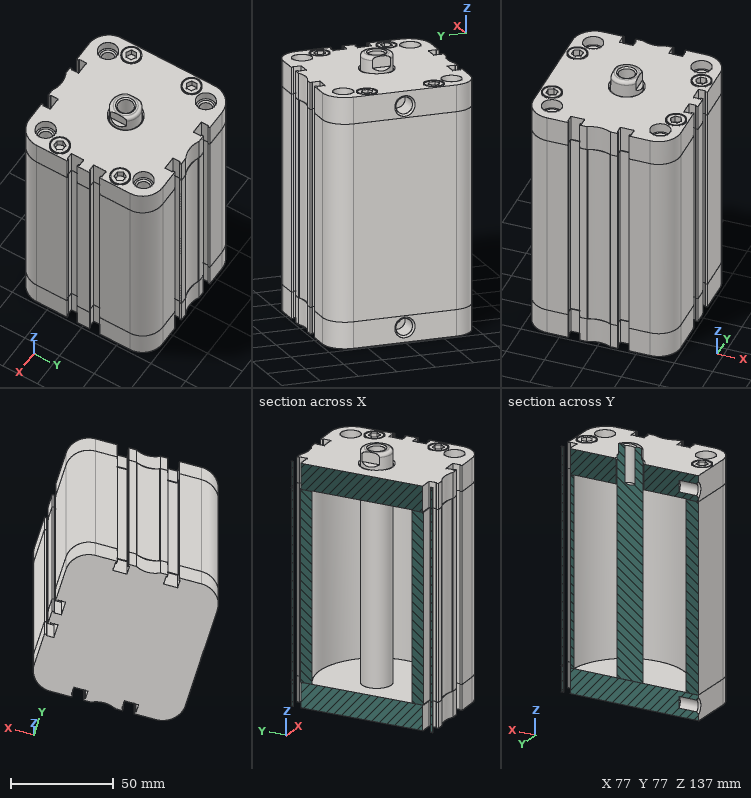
import cadquery as cq
import math


TOTAL_HEIGHT = 137.0
SIDE = 77.0
HALF_SIDE = SIDE / 2
ROD_PROJECTION = 8.2
CAP_HEIGHT = 13.7
HOUSING_HEIGHT = TOTAL_HEIGHT - ROD_PROJECTION
BARREL_HEIGHT = HOUSING_HEIGHT - 2 * CAP_HEIGHT
BEARING_CAP_BASE = HOUSING_HEIGHT - CAP_HEIGHT
BORE_DIAMETER = 63.0
CORNER_RADIUS = 11.6

SLOT_MOUTH_WIDTH = 5.9
SLOT_WIDTH = 7.1
SLOT_LIP = 1.2
FRONT_SLOT_OFFSET = 12.9
SIDE_SLOT_OFFSET = 6.5
SIDE_SLOT_DEPTH = 5.0
CAP_FRONT_SLOT_DEPTH = 5.3
BARREL_FRONT_SLOT_DEPTH = 5.0

FLUTE_WIDTH = 12.2
CAP_FLUTE_DEPTH = 1.5
BARREL_FLUTE_DEPTH = 1.2
FLUTE_BEVEL = 0.4

MOUNT_OFFSET = 28.2
MOUNT_RECESS_DIAMETER = 10.3
MOUNT_RECESS_DEPTH = 5.0
MOUNT_CHAMFER_DIAMETER = 8.4
MOUNT_HOLE_DIAMETER = 6.7

SCREW_X = 32.3
SCREW_Y = 17.4
SCREW_DIAMETER = 10.3
SCREW_EDGE_CHAMFER = 0.5
HEX_ACROSS_FLATS = 5.1
HEX_DEPTH = 3.4

PORT_END_DISTANCE = 7.7
PORT_DIAMETER = 8.6
PORT_CHAMFER_DIAMETER = 10.5
PORT_DEPTH = 11.0
PASSAGE_DIAMETER = 4.0
PASSAGE_RISE = 1.1
PASSAGE_DEPTH = 5.5

ROD_DIAMETER = 16.0
ROD_EDGE_RADIUS = 1.9
ROD_ACROSS_FLATS = 13.0
ROD_FLAT_LENGTH = 5.8
ROD_BEARING_DIAMETER = 16.6
ROD_BEARING_CHAMFER_DIAMETER = 18.0
ROD_THREAD_DIAMETER = 8.4
ROD_THREAD_CHAMFER_DIAMETER = 9.9
ROD_THREAD_DEPTH = 20.0
DRILL_TIP_ANGLE = 118.0


def cone_to(plane, large_diameter, small_diameter):
    """45 degree countersink tool, starting on the plane and narrowing along its normal."""
    depth = (large_diameter - small_diameter) / 2
    return cq.Workplane(plane).add(
        cq.Solid.makeCone(large_diameter / 2, small_diameter / 2, depth, plane.origin, plane.zDir)
    )


def slot_cutter(offset, depth, height):
    """Stepped slot tool for the -Y side, placed at the given X offset."""
    mouth = cq.Workplane().box(SLOT_MOUTH_WIDTH, depth, height, centered=(True, False, False))
    channel = cq.Workplane().box(SLOT_WIDTH, depth - SLOT_LIP, height, centered=(True, False, False))
    return mouth.union(channel.translate((0, SLOT_LIP, 0))).translate((offset, -HALF_SIDE, 0))


def flute_cutter(depth, bevel, height):
    """Arc-bottomed flute tool for the -Y side; a bevel of zero leaves its edges plain."""
    half_width = FLUTE_WIDTH / 2
    arc_half_width = half_width - bevel
    outline = cq.Workplane().moveTo(-half_width, -HALF_SIDE)
    if bevel:
        outline = outline.lineTo(-arc_half_width, -HALF_SIDE + bevel)
    outline = outline.threePointArc((0, -HALF_SIDE + depth), (arc_half_width, -HALF_SIDE + bevel))
    if bevel:
        outline = outline.lineTo(half_width, -HALF_SIDE)
    return outline.close().extrude(height)


def profile_block(height, front_slot_depth, flute_depth, flute_bevel):
    """Rounded square block with the slots and flutes running through its full height."""
    block = cq.Workplane().box(SIDE, SIDE, height, centered=(True, True, False))
    block = block.edges("|Z").fillet(CORNER_RADIUS)
    front_tools = [flute_cutter(flute_depth, flute_bevel, height)]
    for side in (-1, 1):
        front_tools.append(slot_cutter(side * FRONT_SLOT_OFFSET, front_slot_depth, height))
        side_slot = slot_cutter(side * SIDE_SLOT_OFFSET, SIDE_SLOT_DEPTH, height)
        block = block.cut(side_slot.rotate((0, 0, 0), (0, 0, 1), 90))
    for tool in front_tools:
        block = block.cut(tool).cut(tool.mirror("XZ"))
    return block


def cap_block():
    return profile_block(CAP_HEIGHT, CAP_FRONT_SLOT_DEPTH, CAP_FLUTE_DEPTH, 0)


def port_cutter(port_z):
    """Chamfered port drilled inward from the -X side."""
    face = cq.Plane(origin=(-HALF_SIDE, 0, port_z), xDir=(0, 1, 0), normal=(1, 0, 0))
    bore = cq.Workplane(face).circle(PORT_DIAMETER / 2).extrude(PORT_DEPTH)
    return bore.union(cone_to(face, PORT_CHAMFER_DIAMETER, PORT_DIAMETER))


def passage_cutter(port_z):
    """Narrow air passage leading on from the floor of a port."""
    floor = cq.Plane(
        origin=(-HALF_SIDE + PORT_DEPTH, 0, port_z + PASSAGE_RISE), xDir=(0, 1, 0), normal=(1, 0, 0)
    )
    return cq.Workplane(floor).circle(PASSAGE_DIAMETER / 2).extrude(PASSAGE_DEPTH)


def mount_hole_cutter():
    """Recess, chamfer and core hole, pointing down from the cap's top face."""
    top = cq.Plane(origin=(0, 0, CAP_HEIGHT), normal=(0, 0, -1))
    recess_floor = cq.Plane(origin=(0, 0, CAP_HEIGHT - MOUNT_RECESS_DEPTH), normal=(0, 0, -1))
    recess = cq.Workplane(top).circle(MOUNT_RECESS_DIAMETER / 2).extrude(MOUNT_RECESS_DEPTH)
    hole = cq.Workplane(top).circle(MOUNT_HOLE_DIAMETER / 2).extrude(CAP_HEIGHT)
    return recess.union(hole).union(cone_to(recess_floor, MOUNT_CHAMFER_DIAMETER, MOUNT_HOLE_DIAMETER))


def screw_head_cutter(hex_angle):
    """Hexagon socket and the V-groove that the chamfered head leaves in its hole."""
    corner_diameter = HEX_ACROSS_FLATS / math.cos(math.radians(30))
    socket = cq.Workplane().polygon(6, corner_diameter).extrude(-HEX_DEPTH)
    socket = socket.rotate((0, 0, 0), (0, 0, 1), hex_angle)
    radius = SCREW_DIAMETER / 2
    groove_points = [(radius - SCREW_EDGE_CHAMFER, 0), (radius, 0), (radius, -SCREW_EDGE_CHAMFER)]
    groove = cq.Workplane("XZ").polyline(groove_points).close().revolve(360, (0, 0, 0), (0, 1, 0))
    return socket.union(groove).translate((0, 0, CAP_HEIGHT))


def make_end_cap():
    cap = cap_block().cut(port_cutter(PORT_END_DISTANCE))
    return cap.cut(passage_cutter(PORT_END_DISTANCE))


def make_barrel():
    barrel = profile_block(BARREL_HEIGHT, BARREL_FRONT_SLOT_DEPTH, BARREL_FLUTE_DEPTH, FLUTE_BEVEL)
    bore = cq.Workplane().circle(BORE_DIAMETER / 2).extrude(BARREL_HEIGHT)
    return barrel.cut(bore).translate((0, 0, CAP_HEIGHT))


def make_bearing_cap():
    cap = cap_block().cut(port_cutter(CAP_HEIGHT - PORT_END_DISTANCE))
    top = cq.Plane(origin=(0, 0, CAP_HEIGHT), normal=(0, 0, -1))
    cap = cap.cut(cq.Workplane(top).circle(ROD_BEARING_DIAMETER / 2).extrude(CAP_HEIGHT))
    cap = cap.cut(cone_to(top, ROD_BEARING_CHAMFER_DIAMETER, ROD_BEARING_DIAMETER))
    for x_sign in (-1, 1):
        hex_angle = 30 if x_sign < 0 else 0
        for y_sign in (-1, 1):
            cap = cap.cut(mount_hole_cutter().translate((x_sign * MOUNT_OFFSET, y_sign * MOUNT_OFFSET, 0)))
            cap = cap.cut(screw_head_cutter(hex_angle).translate((x_sign * SCREW_X, y_sign * SCREW_Y, 0)))
    return cap.translate((0, 0, BEARING_CAP_BASE))


def flat_cutter():
    """Wrench flat tool for the +X side, running out at 45 degrees below the flat."""
    flat_x = ROD_ACROSS_FLATS / 2
    reach = ROD_DIAMETER - flat_x
    flat_end = TOTAL_HEIGHT - ROD_FLAT_LENGTH
    points = [
        (flat_x, TOTAL_HEIGHT),
        (flat_x, flat_end),
        (flat_x + reach, flat_end - reach),
        (flat_x + reach, TOTAL_HEIGHT),
    ]
    return cq.Workplane("XZ").polyline(points).close().extrude(ROD_DIAMETER / 2, both=True)


def make_piston_rod():
    rod = cq.Workplane().workplane(offset=CAP_HEIGHT).circle(ROD_DIAMETER / 2)
    rod = rod.extrude(TOTAL_HEIGHT - CAP_HEIGHT)
    rod = rod.faces(">Z").edges().fillet(ROD_EDGE_RADIUS)
    rod = rod.cut(flat_cutter()).cut(flat_cutter().mirror("YZ"))
    top = cq.Plane(origin=(0, 0, TOTAL_HEIGHT), normal=(0, 0, -1))
    radius = ROD_THREAD_DIAMETER / 2
    tip_length = radius / math.tan(math.radians(DRILL_TIP_ANGLE / 2))
    tip_start = (0, 0, TOTAL_HEIGHT - ROD_THREAD_DEPTH)
    rod = rod.cut(cq.Workplane(top).circle(radius).extrude(ROD_THREAD_DEPTH))
    rod = rod.cut(cq.Workplane().add(cq.Solid.makeCone(radius, 0, tip_length, tip_start, (0, 0, -1))))
    return rod.cut(cone_to(top, ROD_THREAD_CHAMFER_DIAMETER, ROD_THREAD_DIAMETER))


end_cap = make_end_cap()
barrel = make_barrel()
bearing_cap = make_bearing_cap()
piston_rod = make_piston_rod()

result = cq.Compound.makeCompound(
    [end_cap.val(), barrel.val(), bearing_cap.val(), piston_rod.val()]
)